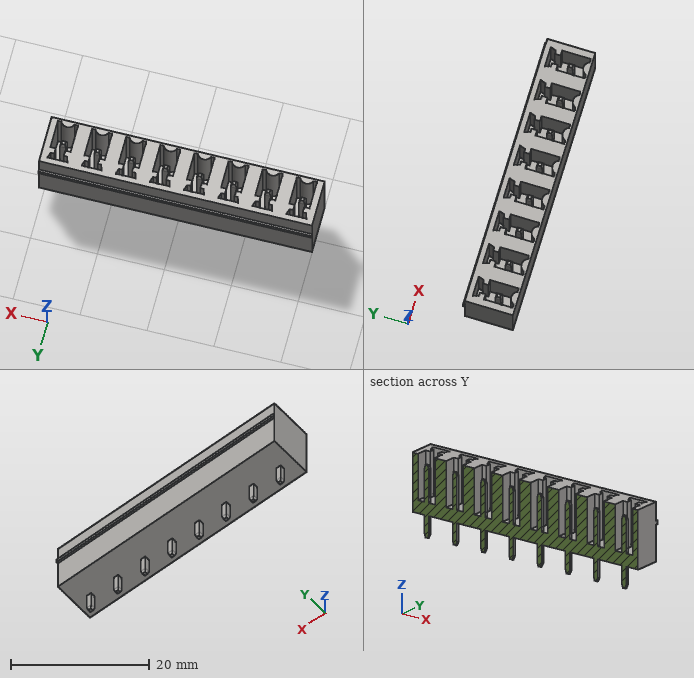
import cadquery as cq

contact_count = 8
pitch = 5.1
body_length = contact_count * pitch
body_depth = 7.25
body_height = 9.2

rib_depth = 0.33
rib_height = 0.6
rib_top_z = body_height - 2.93

cavity_width = 3.0
cavity_front_y = 0.35
neck_front_y = 4.67
neck_rear_y = 5.53
cavity_rear_y = 6.4
neck_width = 1.42
dovetail_front_width = 2.45
bulge_width = 1.95
bulge_height = 0.65
cavity_depth = 7.1

pin_size = 0.85
pin_tip_size = 0.5
pin_taper = 0.6
pin_y = 2.9
pin_bottom_z = -3.4
pin_recess = 1.42
pin_top_z = body_height - pin_recess


def make_housing():
    """Block with a straight rib along its rear face."""
    block = cq.Workplane("XY").box(body_length, body_depth, body_height, centered=(True, False, False))
    rib = (
        cq.Workplane("XY", origin=(0, body_depth, rib_top_z - rib_height))
        .box(body_length, rib_depth, rib_height, centered=(True, False, False))
    )
    return block.union(rib)


def make_cavity():
    """Cavity open at the top, with a rear dovetail and a rounded bulge in its front wall."""
    half_cavity = cavity_width / 2
    half_neck = neck_width / 2
    half_dovetail = dovetail_front_width / 2
    half_bulge = bulge_width / 2
    return (
        cq.Workplane("XY", origin=(0, 0, body_height - cavity_depth))
        .moveTo(-half_bulge, cavity_front_y)
        .threePointArc((0, cavity_front_y + bulge_height), (half_bulge, cavity_front_y))
        .lineTo(half_cavity, cavity_front_y)
        .lineTo(half_cavity, neck_front_y)
        .lineTo(half_neck, neck_front_y)
        .lineTo(half_neck, neck_rear_y)
        .lineTo(half_dovetail, neck_rear_y)
        .lineTo(half_cavity, cavity_rear_y)
        .lineTo(-half_cavity, cavity_rear_y)
        .lineTo(-half_dovetail, neck_rear_y)
        .lineTo(-half_neck, neck_rear_y)
        .lineTo(-half_neck, neck_front_y)
        .lineTo(-half_cavity, neck_front_y)
        .lineTo(-half_cavity, cavity_front_y)
        .close()
        .extrude(cavity_depth)
    )


def make_pin():
    """Square pin, narrowed to a smaller square at both ends."""
    shank_bottom_z = pin_bottom_z + pin_taper
    shank_top_z = pin_top_z - pin_taper
    shank = (
        cq.Workplane("XY", origin=(0, pin_y, shank_bottom_z))
        .rect(pin_size, pin_size)
        .extrude(shank_top_z - shank_bottom_z)
    )
    top_taper = (
        cq.Workplane("XY", origin=(0, pin_y, shank_top_z))
        .rect(pin_size, pin_size)
        .workplane(offset=pin_taper)
        .rect(pin_tip_size, pin_tip_size)
        .loft(ruled=True)
    )
    bottom_taper = (
        cq.Workplane("XY", origin=(0, pin_y, pin_bottom_z))
        .rect(pin_tip_size, pin_tip_size)
        .workplane(offset=pin_taper)
        .rect(pin_size, pin_size)
        .loft(ruled=True)
    )
    return shank.union(top_taper).union(bottom_taper)


result = make_housing()
cavity = make_cavity()
pin = make_pin()
for index in range(contact_count):
    contact_x = (index - (contact_count - 1) / 2) * pitch
    result = result.cut(cavity.translate((contact_x, 0, 0)))
    result = result.union(pin.translate((contact_x, 0, 0)))